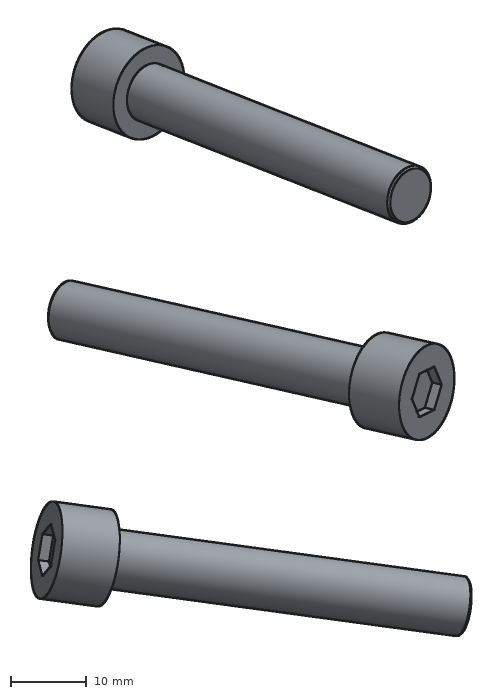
import cadquery as cq
import math

total_length = 58.0
shank_diameter = 8.0
head_diameter = 13.0
head_length = shank_diameter
tip_chamfer = 0.3
socket_across_flats = 6.05
socket_depth = 1.5

shank_length = total_length - head_length
socket_across_corners = socket_across_flats / math.cos(math.pi / 6)

head = cq.Workplane("YZ").circle(head_diameter / 2).extrude(head_length)

shank = (
    cq.Workplane("YZ", origin=(head_length, 0, 0))
    .circle(shank_diameter / 2)
    .extrude(shank_length)
    .faces(">X")
    .chamfer(tip_chamfer)
)

socket = cq.Workplane("YZ").polygon(6, socket_across_corners).extrude(socket_depth)

result = head.union(shank).cut(socket)